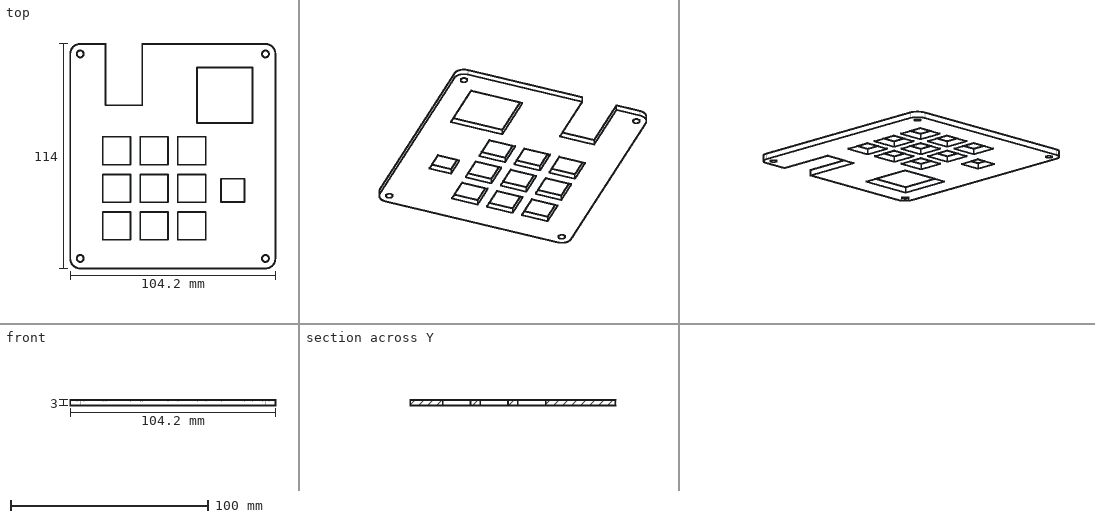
import cadquery as cq

width = 104.2
length = 114.0
thickness = 3.0
corner_radius = 5.1

hole_diameter = 3.4
hole_inset = corner_radius

key_count = 3
key_size = 14.0
key_pitch = 19.0
key_grid_x = -9.5
key_grid_y = -16.3

window_size = 28.0
window_x = 26.3
window_y = 30.9

small_size = 11.7
small_x = 30.4
small_y = -17.3

notch_width = 18.6
notch_depth = 31.1
notch_x = -24.8


def through_cutter(locations, size_x, size_y):
    """Rectangular cutters through the full thickness at the given centres."""
    return cq.Workplane("XY").pushPoints(locations).rect(size_x, size_y).extrude(thickness)


plate = (
    cq.Workplane("XY")
    .rect(width, length)
    .extrude(thickness)
    .edges("|Z")
    .fillet(corner_radius)
)

mounting_holes = (
    cq.Workplane("XY")
    .rect(width - 2 * hole_inset, length - 2 * hole_inset, forConstruction=True)
    .vertices()
    .circle(hole_diameter / 2)
    .extrude(thickness)
)

key_offsets = [(i - (key_count - 1) / 2) * key_pitch for i in range(key_count)]
key_centres = [(key_grid_x + dx, key_grid_y + dy) for dx in key_offsets for dy in key_offsets]
keys = through_cutter(key_centres, key_size, key_size)

window = through_cutter([(window_x, window_y)], window_size, window_size)
small_opening = through_cutter([(small_x, small_y)], small_size, small_size)

notch_y = length / 2 - notch_depth / 2
notch = through_cutter([(notch_x, notch_y)], notch_width, notch_depth)

result = plate.cut(mounting_holes).cut(keys).cut(window).cut(small_opening).cut(notch)